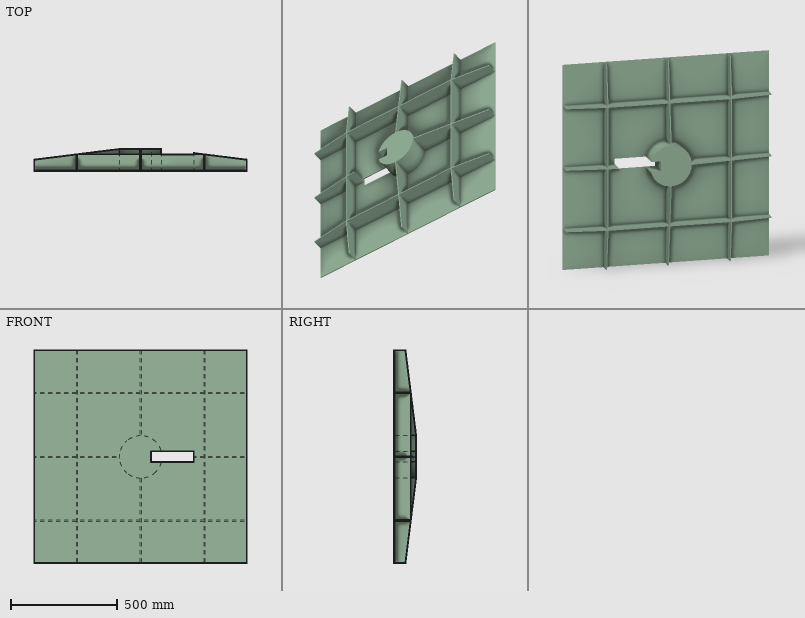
import cadquery as cq

plate_side = 1000.0
plate_thickness = 5.0
total_depth = 105.0

rib_thickness = 5.0
rib_spacing = 300.0
rib_end_depth = 55.0

hub_radius = 100.0

slot_length = 200.0
slot_height = 50.0
slot_start_x = 50.0

half_side = plate_side / 2
front_y = -total_depth / 2

rib_slope = (total_depth - rib_end_depth) / (half_side - hub_radius)
side_rib_depth = rib_end_depth + rib_slope * (half_side - rib_spacing)


def make_rib(offset, flat_half_length, flat_depth):
    """Rib along X at height Z = offset, tapering from its flat middle to both ends."""
    profile = [
        (-half_side, 0),
        (half_side, 0),
        (half_side, rib_end_depth),
        (flat_half_length, flat_depth),
        (-flat_half_length, flat_depth),
        (-half_side, rib_end_depth),
    ]
    return (
        cq.Workplane("XY", origin=(0, front_y, offset))
        .polyline(profile)
        .close()
        .extrude(rib_thickness / 2, both=True)
    )


def box_from_front(length, depth, height, center_x=0):
    """Box starting at the outer plate face, centred on Z = 0."""
    return (
        cq.Workplane("XY", origin=(center_x, front_y, 0))
        .box(length, depth, height, centered=(True, False, True))
    )


plate = box_from_front(plate_side, plate_thickness, plate_side)

hub = cq.Workplane("XZ", origin=(0, front_y, 0)).circle(hub_radius).extrude(-total_depth)

body = plate.union(hub)

ribs = [
    make_rib(-rib_spacing, rib_spacing, side_rib_depth),
    make_rib(0, hub_radius, total_depth),
    make_rib(rib_spacing, rib_spacing, side_rib_depth),
]
for rib in ribs:
    upright_rib = rib.rotate((0, 0, 0), (0, 1, 0), 90)
    body = body.union(rib).union(upright_rib)

slot = box_from_front(slot_length, total_depth, slot_height, slot_start_x + slot_length / 2)

result = body.cut(slot)